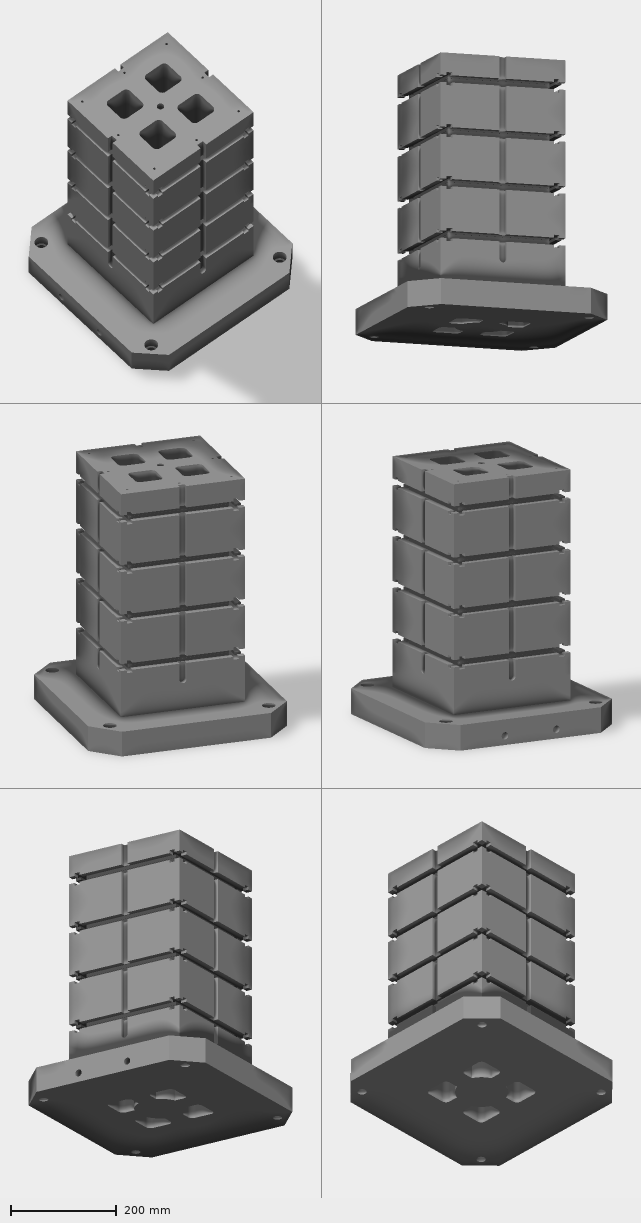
import cadquery as cq
import math

plate_side = 400.0
plate_thickness = 50.0
plate_corner_chamfer = 50.0

total_height = 500.0
tower_side = 250.0
tower_half = tower_side / 2

window_side = 55.0
window_corner_radius = 10.0
web_thickness = 40.0
window_offset = (web_thickness + window_side) / 2

hub_diameter = 100.0

t_slot_levels = 4
t_slot_pitch = 100.0
top_t_slot_drop = 50.0
t_neck_width = 14.0
t_neck_depth = 12.0
t_head_width = 25.0
t_slot_depth = 23.5
t_relief_width = 12.0
t_relief_depth = 0.5

groove_width = 14.0
groove_depth = 10.0
groove_end_height = 110.0

mount_offset = 160.0
mount_hole_diameter = 18.0
mount_bore_diameter = 26.0
mount_bore_depth = 20.0

drill_tip_angle = 118.0
centre_hole_diameter = 14.0
centre_hole_depth = 30.0
pin_hole_diameter = 5.0
pin_hole_depth = 15.0
pin_offset = 105.0
side_hole_diameter = 14.0
side_hole_depth = 30.0
side_hole_offset = 55.0
side_hole_height = 18.0


def cut_each_side(body, cutter):
    """Cut a cutter made for the -Y side into all four sides of the tower."""
    for side in range(4):
        body = body.cut(cutter.rotate((0, 0, 0), (0, 0, 1), 90 * side))
    return body


def drill(diameter, depth):
    """Drill body entering at the origin toward -Z, with a conical tip."""
    radius = diameter / 2
    tip_length = radius / math.tan(math.radians(drill_tip_angle / 2))
    profile = [(0, 0), (radius, 0), (radius, -depth), (0, -depth - tip_length)]
    return cq.Workplane("XZ").polyline(profile).close().revolve(360, (0, 0), (0, 1))


def make_blank():
    plate = (
        cq.Workplane("XY")
        .rect(plate_side, plate_side)
        .extrude(plate_thickness)
        .edges("|Z")
        .chamfer(plate_corner_chamfer)
    )
    tower = cq.Workplane("XY").rect(tower_side, tower_side).extrude(total_height)
    return plate.union(tower)


def cut_windows(body):
    windows = (
        cq.Workplane("XY")
        .rect(2 * window_offset, 2 * window_offset, forConstruction=True)
        .vertices()
        .rect(window_side, window_side)
        .extrude(total_height)
        .edges("|Z")
        .fillet(window_corner_radius)
    )
    hub = cq.Workplane("XY").circle(hub_diameter / 2).extrude(plate_thickness)
    return body.cut(windows).union(hub)


def slot_block(start_depth, end_depth, width):
    """Cutter block as long as a tower side, lying between two depths along +Y."""
    block = cq.Workplane("XY").box(
        tower_side, end_depth - start_depth, width, centered=(True, False, True)
    )
    return block.translate((0, start_depth, 0))


def t_slot(height):
    """T-shaped cutter along the full -Y side, with a shallow relief in the slot floor."""
    neck = slot_block(0, t_slot_depth, t_neck_width)
    head = slot_block(t_neck_depth, t_slot_depth, t_head_width)
    relief = slot_block(0, t_slot_depth + t_relief_depth, t_relief_width)
    return neck.union(head).union(relief).translate((0, -tower_half, height))


def cut_t_slots(body):
    for level in range(t_slot_levels):
        height = total_height - top_t_slot_drop - level * t_slot_pitch
        body = cut_each_side(body, t_slot(height))
    return body


def cut_grooves(body):
    """Grooves open at the tower top and rounded at their lower end."""
    radius = groove_width / 2
    groove = (
        cq.Workplane("XZ", origin=(0, -tower_half, 0))
        .moveTo(-radius, total_height)
        .lineTo(-radius, groove_end_height)
        .threePointArc((0, groove_end_height - radius), (radius, groove_end_height))
        .lineTo(radius, total_height)
        .close()
        .extrude(-groove_depth)
    )
    return cut_each_side(body, groove)


def cut_mounting_holes(body):
    """Through holes counterbored from the top of the plate."""
    corners = (
        cq.Workplane("XY", origin=(0, 0, plate_thickness))
        .rect(2 * mount_offset, 2 * mount_offset, forConstruction=True)
        .vertices()
    )
    holes = corners.circle(mount_hole_diameter / 2).extrude(-plate_thickness)
    bores = corners.circle(mount_bore_diameter / 2).extrude(-mount_bore_depth)
    return body.cut(holes).cut(bores)


def cut_top_holes(body):
    body = body.cut(drill(centre_hole_diameter, centre_hole_depth).translate((0, 0, total_height)))
    pin_drill = drill(pin_hole_diameter, pin_hole_depth)
    for x in (-pin_offset, 0, pin_offset):
        for y in (-pin_offset, 0, pin_offset):
            if (x, y) != (0, 0):
                body = body.cut(pin_drill.translate((x, y, total_height)))
    return body


def cut_side_holes(body):
    """Two blind holes in the -Y edge of the plate."""
    side_drill = drill(side_hole_diameter, side_hole_depth).rotate((0, 0, 0), (1, 0, 0), 90)
    for x in (-side_hole_offset, side_hole_offset):
        body = body.cut(side_drill.translate((x, -plate_side / 2, side_hole_height)))
    return body


result = make_blank()
result = cut_windows(result)
result = cut_t_slots(result)
result = cut_grooves(result)
result = cut_mounting_holes(result)
result = cut_top_holes(result)
result = cut_side_holes(result)